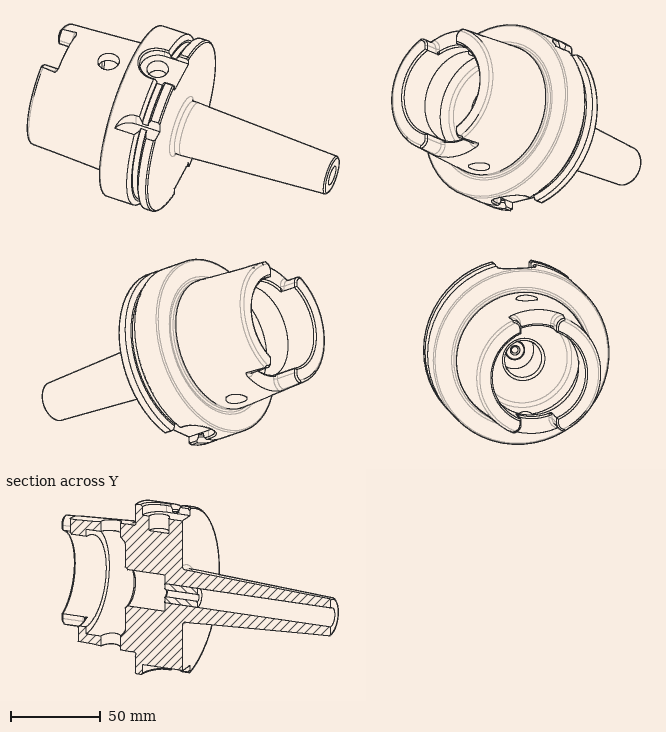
import cadquery as cq
import math


total_length = 170.0
flange_start = 50.0
flange_length = 29.0
flange_end = flange_start + flange_length

taper_end = 47.1
taper_end_radius = 37.5
taper_slope = 1 / 20
shank_front_radius = taper_end_radius - taper_slope * taper_end
shank_front_fillet = 1.5

undercut_slope_length = 0.7
undercut_angle = 15
undercut_radius = taper_end_radius - undercut_slope_length * math.tan(math.radians(undercut_angle))
undercut_corner_radius = 1.0
undercut_face_depth = 0.3
undercut_face_radius = 39.8
undercut_bottom = flange_start + undercut_face_depth

flange_radius = 50.0
flange_edge_radius = 0.8
flange_end_chamfer = 0.8
groove_center = 70.2
groove_root_width = 3.5
groove_mouth_width = 7.0
groove_root_radius = 45.9
groove_half_angle = 30
groove_flare_depth = (groove_mouth_width - groove_root_width) / 2 / math.tan(math.radians(groove_half_angle))

nose_root_radius = 15.5
nose_root_fillet = 2.0
nose_cone_start = 84.2
nose_end_radius = 11.0
nose_end_chamfer = 0.8

bore_radius = 26.5
bore_chamfer = 1.0
bore_length = 20.0
clamp_radius = 30.6
clamp_end = 39.5
bore_floor = 43.9
bore_floor_radius = 26.2
bore_floor_fillet = 3.4

thread_radius = 10.5
thread_chamfer = 1.5
thread_floor = 68.0
screw_radius = 5.5

keyway_half_width = 10.0
keyway_lip_radius = 4.8
keyway_lip_height = 32.1
keyway_floor_fillet = 1.5
keyway_rim_chamfer = 1.0
top_keyway_depth = 10.0
bottom_keyway_depth = 15.0

radial_hole_radius = 6.0
radial_hole_x = 35.0

drive_slot_count = 2
slot_center_x = 64.6
slot_half_width = 10.0
slot_floor_height = 44.0
slot_rim_chamfer = 1.0
chip_pocket_radius = 6.0
chip_pocket_depth = 8.5

notch_offset = 31.5
notch_end_radius = 10.0

screw_length = 20.4
screw_chamfer = 0.42
screw_hole_radius = 1.9
screw_countersink = 0.8

reach = 68.0

pick_margin = 0.2


def arc_inset(radius):
    """Distance from a square corner, along each side, to the middle of the arc that rounds it."""
    return radius * (1 - math.sqrt(0.5))


def turned(profile):
    """Revolve a closed (x, radius) outline about the X axis."""
    return profile.close().revolve(360, (0, 0, 0), (1, 0, 0))


def frustum(x_start, radius_start, x_end, radius_end):
    """Solid cone or cylinder along X."""
    outline = cq.Workplane("XY").moveTo(x_start, 0).lineTo(x_start, radius_start)
    return turned(outline.lineTo(x_end, radius_end).lineTo(x_end, 0))


def make_shank():
    corner_inset = arc_inset(undercut_corner_radius)
    outline = (
        cq.Workplane("XY")
        .moveTo(0, 0)
        .lineTo(0, shank_front_radius)
        .lineTo(taper_end, taper_end_radius)
        .lineTo(taper_end + undercut_slope_length, undercut_radius)
        .lineTo(undercut_bottom - undercut_corner_radius, undercut_radius)
        .threePointArc(
            (undercut_bottom - corner_inset, undercut_radius + corner_inset),
            (undercut_bottom, undercut_radius + undercut_corner_radius),
        )
        .lineTo(undercut_bottom, 0)
    )
    return turned(outline).faces("<X").edges().fillet(shank_front_fillet)


def make_flange():
    root_left = groove_center - groove_root_width / 2
    root_right = groove_center + groove_root_width / 2
    mouth_left = groove_center - groove_mouth_width / 2
    mouth_right = groove_center + groove_mouth_width / 2
    flare_radius = flange_radius - groove_flare_depth
    edge_inset = arc_inset(flange_edge_radius)
    outline = (
        cq.Workplane("XY")
        .moveTo(undercut_bottom, 0)
        .lineTo(undercut_bottom, undercut_radius + undercut_corner_radius)
        .lineTo(flange_start, undercut_face_radius)
        .lineTo(flange_start, flange_radius - flange_edge_radius)
        .threePointArc(
            (flange_start + edge_inset, flange_radius - edge_inset),
            (flange_start + flange_edge_radius, flange_radius),
        )
        .lineTo(mouth_left, flange_radius)
        .lineTo(root_left, flare_radius)
        .lineTo(root_left, groove_root_radius)
        .lineTo(root_right, groove_root_radius)
        .lineTo(root_right, flare_radius)
        .lineTo(mouth_right, flange_radius)
        .lineTo(flange_end - flange_end_chamfer, flange_radius)
        .lineTo(flange_end, flange_radius - flange_end_chamfer)
        .lineTo(flange_end, 0)
    )
    return turned(outline)


def make_nose():
    fillet_end = flange_end + nose_root_fillet
    fillet_inset = arc_inset(nose_root_fillet)
    outline = (
        cq.Workplane("XY")
        .moveTo(flange_end, 0)
        .lineTo(flange_end, nose_root_radius + nose_root_fillet)
        .threePointArc(
            (flange_end + fillet_inset, nose_root_radius + fillet_inset),
            (fillet_end, nose_root_radius),
        )
        .lineTo(nose_cone_start, nose_root_radius)
        .lineTo(total_length, nose_end_radius)
        .lineTo(total_length, 0)
    )
    return turned(outline).faces(">X").edges().chamfer(nose_end_chamfer)


def make_hollow():
    """The stepped cavity from the front face to the far end of the nose."""
    entry = frustum(0, bore_radius + bore_chamfer, bore_chamfer, bore_radius)
    bore = frustum(0, bore_radius, bore_length, bore_radius)
    clamp = frustum(bore_length, clamp_radius, clamp_end, clamp_radius)
    floor_cone = frustum(clamp_end, clamp_radius, bore_floor, bore_floor_radius)
    floor_cone = floor_cone.faces(">X").edges().fillet(bore_floor_fillet)
    thread_entry = frustum(
        bore_floor,
        thread_radius + thread_chamfer,
        bore_floor + thread_chamfer,
        thread_radius,
    )
    thread_bore = frustum(bore_floor, thread_radius, thread_floor, thread_radius)
    screw_bore = frustum(thread_floor, screw_radius, total_length, screw_radius)
    hollow = entry.union(bore).union(clamp).union(floor_cone)
    return hollow.union(thread_entry).union(thread_bore).union(screw_bore)


def keyway_outline(offset):
    """Keyway section in Y and Z, with walls that round outward over the key edges.

    A positive offset moves the walls and lips into the keys by that amount.
    """
    wall = keyway_half_width + offset
    lip_radius = keyway_lip_radius - offset
    lip_height = keyway_lip_height - offset
    lip_y = wall + lip_radius
    lip_start = lip_height - lip_radius
    lip_mid_y = wall + arc_inset(lip_radius)
    lip_mid_z = lip_height - arc_inset(lip_radius)
    return (
        cq.Workplane("YZ")
        .moveTo(-wall, 0)
        .lineTo(-wall, lip_start)
        .threePointArc((-lip_mid_y, lip_mid_z), (-lip_y, lip_height))
        .lineTo(-reach, lip_height)
        .lineTo(-reach, reach)
        .lineTo(reach, reach)
        .lineTo(reach, lip_height)
        .lineTo(lip_y, lip_height)
        .threePointArc((lip_mid_y, lip_mid_z), (wall, lip_start))
        .lineTo(wall, 0)
        .close()
    )


def make_keyway(depth):
    """Keyway on the +Z side, with its floor fillet and the chamfers at the front rim and at the bore."""
    slot = keyway_outline(0).extrude(depth).faces(">X").edges().fillet(keyway_floor_fillet)
    rim_mouth = keyway_outline(keyway_rim_chamfer).wires().val()
    rim_inner = keyway_outline(0).wires().val().translate(cq.Vector(keyway_rim_chamfer, 0, 0))
    rim = cq.Workplane(cq.Solid.makeLoft([rim_mouth, rim_inner], True))
    floor_rim = frustum(depth, bore_radius + bore_chamfer, depth + bore_chamfer, bore_radius)
    floor_zone = cq.Workplane("XY").box(
        reach, 2 * keyway_half_width, reach, centered=(True, True, False)
    )
    return slot.union(rim).union(floor_rim.intersect(floor_zone))


def cut_drive_slot(flange):
    """Cut the round-ended slot on the +Z side, open toward +X, and chamfer its rim."""
    slot = (
        cq.Workplane("XY", origin=(slot_center_x, 0, slot_floor_height))
        .moveTo(reach, -slot_half_width)
        .lineTo(0, -slot_half_width)
        .threePointArc((-slot_half_width, 0), (0, slot_half_width))
        .lineTo(reach, slot_half_width)
        .close()
        .extrude(reach)
    )
    rim_low = math.sqrt((flange_radius - flange_end_chamfer) ** 2 - slot_half_width**2)
    pick_half_width = slot_half_width + pick_margin
    rim_edges = cq.selectors.BoxSelector(
        (slot_center_x - pick_half_width, -pick_half_width, rim_low - pick_margin),
        (flange_end + pick_margin, pick_half_width, flange_radius + pick_margin),
        boundingbox=True,
    )
    return flange.cut(slot).edges(rim_edges).chamfer(slot_rim_chamfer)


def make_chip_pocket():
    pocket = cq.Workplane("XY", origin=(slot_center_x, 0, slot_floor_height))
    return pocket.circle(chip_pocket_radius).extrude(-chip_pocket_depth)


def make_notch():
    """Square-cornered notch whose end wall is rounded about a Z axis."""
    return (
        cq.Workplane("XY", origin=(slot_center_x, -notch_offset, notch_offset))
        .moveTo(reach, 0)
        .lineTo(0, 0)
        .threePointArc(
            (arc_inset(notch_end_radius) - notch_end_radius, -arc_inset(notch_end_radius)),
            (-notch_end_radius, -notch_end_radius),
        )
        .lineTo(-notch_end_radius, -reach)
        .lineTo(reach, -reach)
        .close()
        .extrude(reach)
    )


def make_radial_hole():
    hole = cq.Workplane("XY", origin=(radial_hole_x, 0, 0))
    return hole.circle(radial_hole_radius).extrude(reach, both=True)


def turned_over(shape):
    """Half a turn about the X axis, which swaps the +Z and -Z sides."""
    return shape.rotate((0, 0, 0), (1, 0, 0), 180)


def make_holder():
    flange = make_flange()
    for _ in range(drive_slot_count):
        flange = turned_over(cut_drive_slot(flange))
    body = make_shank().union(flange).union(make_nose())
    tools = [
        make_hollow(),
        make_keyway(top_keyway_depth),
        turned_over(make_keyway(bottom_keyway_depth)),
        make_radial_hole(),
        make_chip_pocket(),
        make_notch(),
    ]
    for tool in tools:
        body = body.cut(tool)
    return body


def make_screw():
    """Hollow adjusting screw, flush with the floor of the thread bore."""
    screw = frustum(thread_floor, screw_radius, thread_floor + screw_length, screw_radius)
    screw = screw.faces("<X").edges().chamfer(screw_chamfer)
    screw = screw.faces("<X").workplane().circle(screw_hole_radius).cutThruAll()
    countersink = frustum(
        thread_floor,
        screw_hole_radius + screw_countersink,
        thread_floor + screw_countersink,
        screw_hole_radius,
    )
    return screw.cut(countersink)


holder = make_holder()
screw = make_screw()

result = cq.Compound.makeCompound([holder.val(), screw.val()])